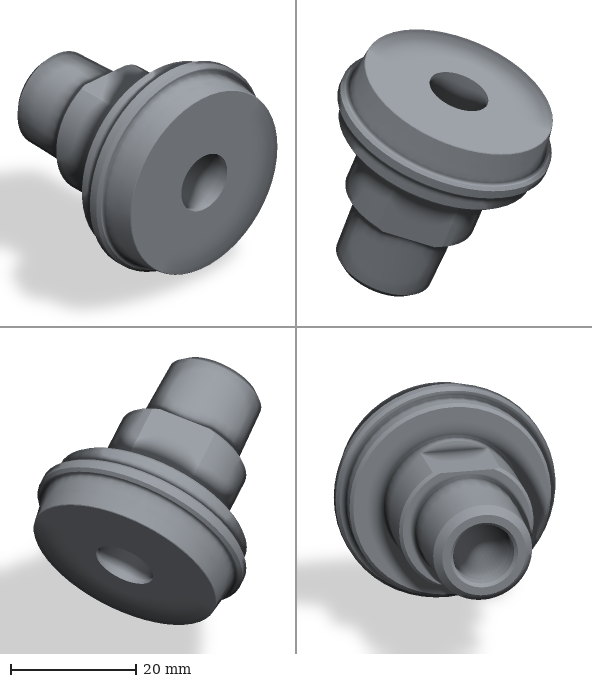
import cadquery as cq
import math

spigot_end = 13.0
body_end = 25.0
ring_start = 28.5
ring_end = 31.0
total_length = 36.5

bore_radius = 10.0 / 2
spigot_tip_radius = 8.1
spigot_root_radius = 8.5
body_radius = 22.0 / 2
flange_radius = 33.0 / 2
ring_radius = 36.0 / 2
cone_start_radius = 16.83

tip_chamfer = 1.25
edge_chamfer = 0.5
root_fillet = 0.35
end_chamfer = 0.1
cone_angle = math.radians(9)

flat_half_width = 9.53
flat_end = 22.5
runout_angle = math.radians(15)


def turned_body():
    """Revolve the half profile, lying in the XY plane, about the X axis."""
    cone_start = ring_end + root_fillet
    cone_end = total_length - end_chamfer
    cone_end_radius = cone_start_radius - (cone_end - cone_start) * math.tan(cone_angle)
    diagonal = root_fillet * math.sqrt(0.5)

    def rising_step(profile, x, lower_radius, upper_radius):
        """Concave fillet, face at x, then chamfer up to the next cylinder."""
        center_x = x - root_fillet
        center_radius = lower_radius + root_fillet
        return (
            profile.lineTo(center_x, lower_radius)
            .threePointArc((center_x + diagonal, center_radius - diagonal), (x, center_radius))
            .lineTo(x, upper_radius - edge_chamfer)
            .lineTo(x + edge_chamfer, upper_radius)
        )

    profile = (
        cq.Workplane("XY")
        .lineTo(0, spigot_tip_radius - tip_chamfer)
        .lineTo(tip_chamfer, spigot_tip_radius)
    )
    profile = rising_step(profile, spigot_end, spigot_root_radius, body_radius)
    profile = rising_step(profile, body_end, body_radius, flange_radius)
    profile = rising_step(profile, ring_start, flange_radius, ring_radius)
    profile = (
        profile.lineTo(ring_end - edge_chamfer, ring_radius)
        .lineTo(ring_end, ring_radius - edge_chamfer)
        .lineTo(ring_end, cone_start_radius + root_fillet)
        .threePointArc(
            (cone_start - diagonal, cone_start_radius + root_fillet - diagonal),
            (cone_start, cone_start_radius),
        )
        .lineTo(cone_end, cone_end_radius)
        .lineTo(total_length, cone_end_radius - end_chamfer)
        .lineTo(total_length, 0)
        .close()
    )
    return profile.revolve(360, (0, 0, 0), (1, 0, 0))


def bore():
    """Through bore with a chamfered mouth at the spigot tip."""
    return (
        cq.Workplane("XY")
        .lineTo(0, bore_radius + edge_chamfer)
        .lineTo(edge_chamfer, bore_radius)
        .lineTo(total_length, bore_radius)
        .lineTo(total_length, 0)
        .close()
        .revolve(360, (0, 0, 0), (1, 0, 0))
    )


def flat_cutter():
    """Prism removing the material above the upper flat, with a sloped run-out."""
    cutter_top = body_radius + root_fillet
    runout = (cutter_top - flat_half_width) * math.tan(runout_angle)
    return (
        cq.Workplane("XZ")
        .moveTo(0, flat_half_width)
        .lineTo(flat_end, flat_half_width)
        .lineTo(flat_end + runout, cutter_top)
        .lineTo(0, cutter_top)
        .close()
        .extrude(body_radius, both=True)
    )


upper_cutter = flat_cutter()
lower_cutter = upper_cutter.mirror("XY")
result = turned_body().cut(bore()).cut(upper_cutter).cut(lower_cutter)